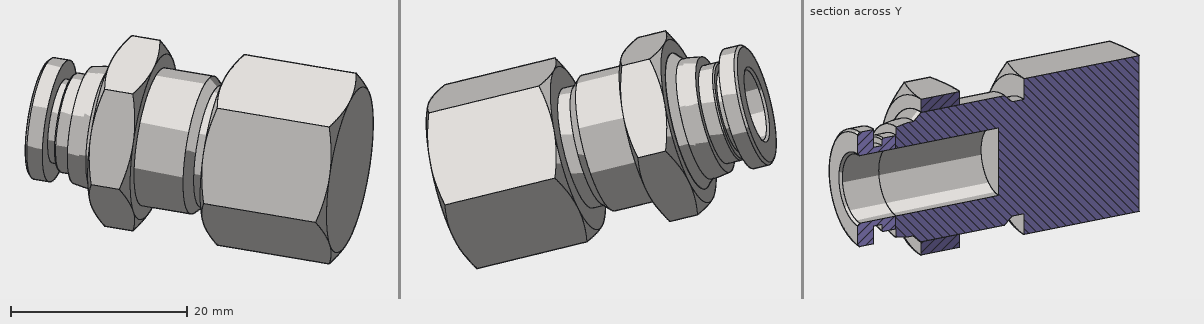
import cadquery as cq
import math

total_length = 36.4

across_flats = 19.05
across_corners = across_flats / math.cos(math.radians(30))
hex_chamfer_angle = 30.0

flange_dia = 14.0
flange_length = 2.1
flange_chamfer = 0.3
neck_dia = 9.7
tube_bore_dia = 8.2
bore_chamfer = 0.3
bore_depth = 18.2
sleeve_length = 5.0
ring_dia = 11.45
ring_start = 3.13
ring_chamfer = 0.2

lip_start = sleeve_length
lip_end = 6.48
lip_front_dia = 13.5
shank_dia = flange_dia
barrel_dia = 15.87
barrel_cone_start = 7.25
barrel_cone_length = 1.0
barrel_end = 19.0
housing_hex_start = 21.48

nut_start = 8.2
nut_thickness = 5.02


def revolve_profile(points):
    """Revolve a closed outline of (x, radius) points about the X axis."""
    return cq.Workplane("XY").polyline(points).close().revolve(360, (0, 0, 0), (1, 0, 0))


def cylinder(start, length, diameter):
    """Make a round bar along X."""
    return cq.Workplane("YZ").workplane(offset=start).circle(diameter / 2).extrude(length)


def chamfered_hex(start, length):
    """Make a hexagonal bar along X with conical chamfers on the corners at both ends."""
    bar = cq.Workplane("YZ").workplane(offset=start).polygon(6, across_corners).extrude(length)
    end = start + length
    face_radius = across_flats / 2
    outer_radius = across_corners / 2 + 0.35
    cone_depth = (outer_radius - face_radius) * math.tan(math.radians(hex_chamfer_angle))
    envelope = revolve_profile([
        (start, 0),
        (start, face_radius),
        (start + cone_depth, outer_radius),
        (end - cone_depth, outer_radius),
        (end, face_radius),
        (end, 0),
    ])
    return bar.intersect(envelope)


def make_release_sleeve():
    """Make the flanged tube with a neck and a ring that butts against the housing lip."""
    flange_radius = flange_dia / 2
    neck_radius = neck_dia / 2
    ring_radius = ring_dia / 2
    bore_radius = tube_bore_dia / 2
    return revolve_profile([
        (0, bore_radius + bore_chamfer),
        (0, flange_radius - flange_chamfer),
        (flange_chamfer, flange_radius),
        (flange_length, flange_radius),
        (flange_length, neck_radius),
        (ring_start, neck_radius),
        (ring_start, ring_radius - ring_chamfer),
        (ring_start + ring_chamfer, ring_radius),
        (sleeve_length, ring_radius),
        (sleeve_length, bore_radius),
        (bore_chamfer, bore_radius),
    ])


def make_housing():
    """Make the stepped barrel with its hexagon and the blind bore that continues the sleeve's."""
    shank_radius = shank_dia / 2
    barrel_radius = barrel_dia / 2
    barrel = revolve_profile([
        (lip_start, 0),
        (lip_start, lip_front_dia / 2),
        (lip_end, shank_radius),
        (barrel_cone_start, shank_radius),
        (barrel_cone_start + barrel_cone_length, barrel_radius),
        (barrel_end, barrel_radius),
        (barrel_end + barrel_cone_length, shank_radius),
        (housing_hex_start, shank_radius),
        (housing_hex_start, 0),
    ])
    hexagon = chamfered_hex(housing_hex_start, total_length - housing_hex_start)
    bore = cylinder(lip_start, bore_depth - lip_start, tube_bore_dia)
    return barrel.union(hexagon).cut(bore)


def make_nut():
    """Make the bulkhead nut, bored to fit the barrel."""
    return chamfered_hex(nut_start, nut_thickness).cut(cylinder(nut_start, nut_thickness, barrel_dia))


release_sleeve = make_release_sleeve()
housing = make_housing()
nut = make_nut()

result = cq.Compound.makeCompound([release_sleeve.val(), housing.val(), nut.val()])